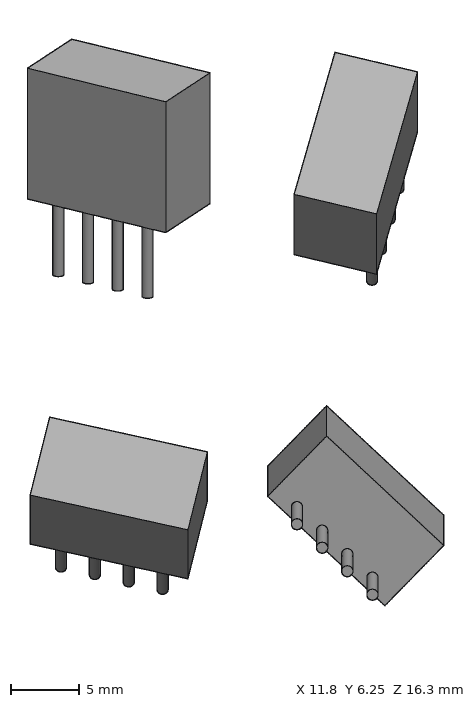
import cadquery as cq

housing_length = 11.85
housing_width = 6.25
housing_height = 10.44

overall_height = 16.31
pin_length = overall_height - housing_height
pin_diameter = 0.83
pin_count = 4
pin_pitch = 2.55
pin_row_inset = 0.9


def make_housing():
    """Block centred on the Z axis, with its underside at Z = 0."""
    return cq.Workplane("XY").box(
        housing_length, housing_width, housing_height, centered=(True, True, False)
    )


def make_pin(x, y):
    """Round pin hanging down from the underside of the housing."""
    return cq.Workplane("XY").center(x, y).circle(pin_diameter / 2).extrude(-pin_length)


housing = make_housing()

pin_row_y = -housing_width / 2 + pin_row_inset
first_pin_x = -pin_pitch * (pin_count - 1) / 2
pins = []
for index in range(pin_count):
    pin = make_pin(first_pin_x + index * pin_pitch, pin_row_y)
    pins.append(pin.val())

result = cq.Compound.makeCompound([housing.val(), *pins])